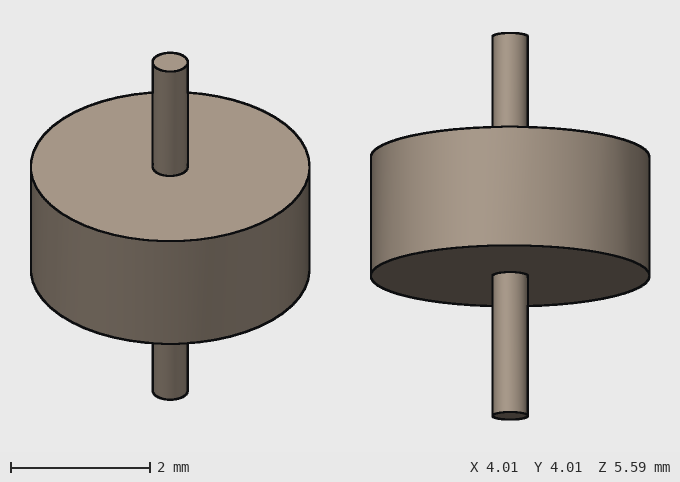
import cadquery as cq

pin_length = 5.59
pin_diameter = 0.51
disc_diameter = 4.015
disc_thickness = 1.75
lower_pin_length = 2.06

pin_bottom = -pin_length / 2
pin = cq.Workplane("XY").workplane(offset=pin_bottom).circle(pin_diameter / 2).extrude(pin_length)

disc_bottom = pin_bottom + lower_pin_length
disc = cq.Workplane("XY").workplane(offset=disc_bottom).circle(disc_diameter / 2).extrude(disc_thickness)

result = disc.union(pin)